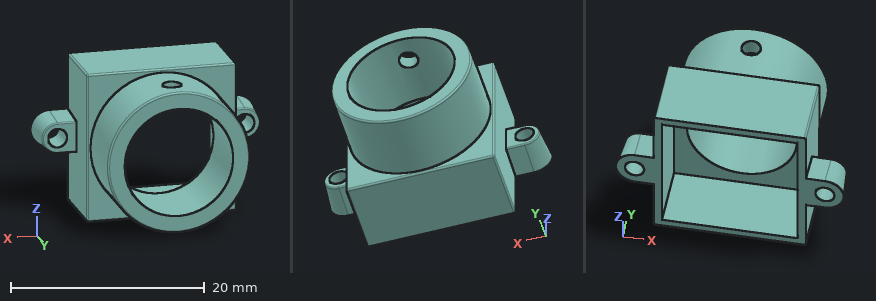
import cadquery as cq

total_width = 24.0
total_depth = 14.8

housing_side = 16.0
housing_depth = 7.8
pocket_side = 14.25
pocket_depth = 6.8
edge_radius = 0.2

barrel_diameter = 15.22
bore_diameter = 11.57
set_screw_diameter = 2.0
set_screw_y = 12.0

ear_width = 3.98
ear_height = 3.6
ear_taper = 5.5
ear_edge_radius = 0.15
ear_hole_diameter = 2.0
ear_center_x = (total_width - ear_width) / 2


def plane_at(y):
    """XZ sketch plane at the given Y, with its normal along +Y and local x along +X."""
    return cq.Workplane(cq.Plane(origin=(0, y, 0), xDir=(1, 0, 0), normal=(0, 1, 0)))


def make_housing():
    block = plane_at(0).rect(housing_side, housing_side).extrude(housing_depth)
    return block.edges("|Y or >Y").fillet(edge_radius)


def make_barrel():
    barrel = plane_at(pocket_depth).circle(barrel_diameter / 2).extrude(total_depth - pocket_depth)
    return barrel.faces(">Y").edges().fillet(edge_radius)


def make_ears():
    bar = plane_at(0).slot2D(total_width, ear_width).extrude(ear_height, taper=ear_taper)
    return bar.faces(">Y").edges().fillet(ear_edge_radius)


body = make_housing().union(make_barrel()).union(make_ears())

body = body.cut(plane_at(0).rect(pocket_side, pocket_side).extrude(pocket_depth))
body = body.cut(plane_at(0).circle(bore_diameter / 2).extrude(total_depth))

ear_centers = [(-ear_center_x, 0), (ear_center_x, 0)]
body = body.cut(plane_at(0).pushPoints(ear_centers).circle(ear_hole_diameter / 2).extrude(ear_height))

set_screw_hole = (
    cq.Workplane("XY")
    .center(0, set_screw_y)
    .circle(set_screw_diameter / 2)
    .extrude(barrel_diameter / 2)
)
result = body.cut(set_screw_hole)